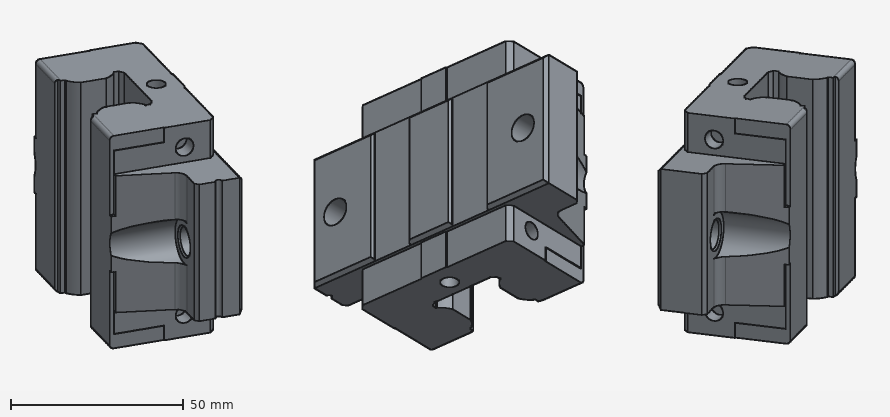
import cadquery as cq
import math

WIDTH = 90.0
HEIGHT = 35.4
LENGTH = 68.0

BODY_LENGTH = 43.7
FLANGE_BOTTOM = 20.4
FOOT_HALF_WIDTH = 30.0
FLANK_ANGLE = math.radians(15)
FLANK_FILLET = 3.3
EDGE_CHAMFER = 1.2

PAD_HEIGHT = EDGE_CHAMFER
PAD_CHAMFER = 0.7
PAD_GAP_INNER_X = 8.2
PAD_GAP_OUTER_X = 21.7

CAP_HALF_WIDTH = 29.1
CAP_TOP = 33.0
CAP_CHAMFER = 1.6
RIDGE_TOP = 33.3
RIDGE_HALF_WIDTH = 4.7
COVER_HALF_WIDTH = 28.8
COVER_TOP = 17.0
COVER_THICKNESS = 4.7
COVER_END_FILLET = 1.35
FOOT_STRIP_HEIGHT = 1.35
FOOT_STRIP_INNER_Z = 8.9

CHANNEL_TOP = 20.5
CHANNEL_HALF_WIDTH = 12.5
CEILING_HALF_WIDTH = 10.7
HAUNCH_X = 12.2
HAUNCH_Y = 19.4
LOBE_CENTER_Y = 10.3
LOBE_HALF_GAP = 9.2
LOBE_FLAT_HALF_HEIGHT = 4.0
LOBE_SHOULDER_X = 10.3
LOBE_SHOULDER_HALF_HEIGHT = 5.85
LOBE_ROOT_X = 12.0
LOBE_ROOT_HALF_HEIGHT = 7.5
LOBE_BASE_HALF_HEIGHT = 7.65
LIP_TOP = 1.2
LIP_CORNER_Y = 0.9
LIP_CORNER_X = 13.7
LIP_X = 14.0

BOLT_X = 36.0
BOLT_RADIUS = 4.3
BOLT_CHAMFER = 0.5
BOLT_HEAD_RADIUS = 7.0

PORT_RADIUS = 2.8
PORT_DEPTH = 5.4
END_PORT_Y = 26.2
SIDE_PORT_Y = 23.4
SIDE_PORT_Z = 26.7
GROOVE_Y = 27.7
GROOVE_RADIUS = 1.0

HALF_WIDTH = WIDTH / 2
HALF_LENGTH = LENGTH / 2
HALF_BODY = BODY_LENGTH / 2
BODY_TOP = HEIGHT - PAD_HEIGHT


def box(x_range, y_range, z_range):
    """Axis-aligned box spanning the three given ranges."""
    size = [high - low for low, high in (x_range, y_range, z_range)]
    corner = (x_range[0], y_range[0], z_range[0])
    return cq.Workplane("XY").box(*size, centered=False).translate(corner)


def mirrored_prism(points, length):
    """Extrude the right half outline and its mirror image, centred on Z = 0."""
    left = [(-x, y) for x, y in reversed(points)]
    return cq.Workplane("XY").polyline(points + left).close().extrude(length / 2, both=True)


def make_body():
    flank_top_x = FOOT_HALF_WIDTH + FLANGE_BOTTOM * math.tan(FLANK_ANGLE)
    outline = [
        (FOOT_HALF_WIDTH, 0),
        (flank_top_x, FLANGE_BOTTOM),
        (HALF_WIDTH - EDGE_CHAMFER, FLANGE_BOTTOM),
        (HALF_WIDTH, FLANGE_BOTTOM + EDGE_CHAMFER),
        (HALF_WIDTH, HEIGHT),
    ]
    body = mirrored_prism(outline, BODY_LENGTH)
    body = body.faces(">Y").edges().chamfer(EDGE_CHAMFER)
    for x in (-flank_top_x, flank_top_x):
        corner = cq.selectors.NearestToPointSelector((x, FLANGE_BOTTOM, 0))
        body = body.edges(corner).fillet(FLANK_FILLET)
    return body


def cut_pad_gaps(body):
    """Two grooves along Z that leave three pads standing above the body top."""
    gap = (
        cq.Workplane("XY")
        .polyline([
            (PAD_GAP_INNER_X, BODY_TOP),
            (PAD_GAP_INNER_X, HEIGHT - PAD_CHAMFER),
            (PAD_GAP_INNER_X - PAD_CHAMFER, HEIGHT),
            (PAD_GAP_OUTER_X + PAD_CHAMFER, HEIGHT),
            (PAD_GAP_OUTER_X, HEIGHT - PAD_CHAMFER),
            (PAD_GAP_OUTER_X, BODY_TOP),
        ])
        .close()
        .extrude(HALF_BODY, both=True)
    )
    return body.cut(gap).cut(gap.mirror("YZ"))


def make_caps():
    """Caps at both ends, joined through the body, with a low ridge on top."""
    ridge_rise = RIDGE_TOP - CAP_TOP
    outline = [
        (CAP_HALF_WIDTH, 0),
        (CAP_HALF_WIDTH, CAP_TOP - CAP_CHAMFER),
        (CAP_HALF_WIDTH - CAP_CHAMFER, CAP_TOP),
        (RIDGE_HALF_WIDTH + ridge_rise, CAP_TOP),
        (RIDGE_HALF_WIDTH, RIDGE_TOP),
    ]
    return mirrored_prism(outline, LENGTH)


def trim_covers(block):
    """Step the flanks in to the cover width at the ends and along the foot."""
    for side in (-1, 1):
        x_range = sorted((side * COVER_HALF_WIDTH, side * HALF_WIDTH))
        for end in (-1, 1):
            plate_z = sorted((end * (HALF_LENGTH - COVER_THICKNESS), end * HALF_LENGTH))
            strip_z = sorted((end * FOOT_STRIP_INNER_Z, end * HALF_LENGTH))
            block = block.cut(box(x_range, (0, COVER_TOP), plate_z))
            block = block.cut(box(x_range, (0, FOOT_STRIP_HEIGHT), strip_z))
    for end in (-1, 1):
        foot_edge = cq.selectors.NearestToPointSelector((0, 0, end * HALF_LENGTH))
        block = block.edges(foot_edge).fillet(COVER_END_FILLET)
    return block


def channel_half(side):
    """Half of the rail channel on the given side of the centre plane."""

    def lobe(x, offset):
        return (side * x, LOBE_CENTER_Y + offset)

    return (
        cq.Workplane("XY")
        .moveTo(0, 0)
        .lineTo(side * LIP_X, 0)
        .lineTo(side * LIP_CORNER_X, LIP_CORNER_Y)
        .lineTo(side * CHANNEL_HALF_WIDTH, LIP_TOP)
        .lineTo(*lobe(CHANNEL_HALF_WIDTH, -LOBE_BASE_HALF_HEIGHT))
        .lineTo(*lobe(LOBE_ROOT_X, -LOBE_ROOT_HALF_HEIGHT))
        .threePointArc(
            lobe(LOBE_SHOULDER_X, -LOBE_SHOULDER_HALF_HEIGHT),
            lobe(LOBE_HALF_GAP, -LOBE_FLAT_HALF_HEIGHT),
        )
        .lineTo(*lobe(LOBE_HALF_GAP, LOBE_FLAT_HALF_HEIGHT))
        .threePointArc(
            lobe(LOBE_SHOULDER_X, LOBE_SHOULDER_HALF_HEIGHT),
            lobe(LOBE_ROOT_X, LOBE_ROOT_HALF_HEIGHT),
        )
        .lineTo(*lobe(CHANNEL_HALF_WIDTH, LOBE_BASE_HALF_HEIGHT))
        .lineTo(side * HAUNCH_X, HAUNCH_Y)
        .lineTo(side * CEILING_HALF_WIDTH, CHANNEL_TOP)
        .lineTo(0, CHANNEL_TOP)
        .close()
        .extrude(HALF_LENGTH, both=True)
    )


def cylinder(radius, start, direction, length):
    return cq.Workplane(cq.Solid.makeCylinder(radius, length, cq.Vector(*start), cq.Vector(*direction)))


def cut_bolt_holes(block):
    """Through holes with a chamfered mouth and head clearance into the flank."""
    up = cq.Vector(0, 1, 0)
    for x in (-BOLT_X, BOLT_X):
        mouth = cq.Solid.makeCone(
            BOLT_RADIUS + BOLT_CHAMFER, BOLT_RADIUS, BOLT_CHAMFER, cq.Vector(x, FLANGE_BOTTOM, 0), up
        )
        block = block.cut(cylinder(BOLT_HEAD_RADIUS, (x, 0, 0), (0, 1, 0), FLANGE_BOTTOM))
        block = block.cut(cylinder(BOLT_RADIUS, (x, 0, 0), (0, 1, 0), HEIGHT))
        block = block.cut(cq.Workplane(mouth))
    return block


def cut_ports(block):
    """Blind grease ports in both end faces and in both sides of each cap."""
    for end in (-1, 1):
        start = (0, END_PORT_Y, end * HALF_LENGTH)
        block = block.cut(cylinder(PORT_RADIUS, start, (0, 0, -end), PORT_DEPTH))
        for side in (-1, 1):
            start = (side * CAP_HALF_WIDTH, SIDE_PORT_Y, end * SIDE_PORT_Z)
            block = block.cut(cylinder(PORT_RADIUS, start, (-side, 0, 0), PORT_DEPTH))
    return block


block = cut_pad_gaps(make_body())
block = block.union(make_caps())
block = trim_covers(block)
block = block.cut(channel_half(-1)).cut(channel_half(1))
block = cut_bolt_holes(block)
block = cut_ports(block)

groove_start = (HALF_WIDTH, GROOVE_Y, -HALF_BODY)
result = block.cut(cylinder(GROOVE_RADIUS, groove_start, (0, 0, 1), BODY_LENGTH))